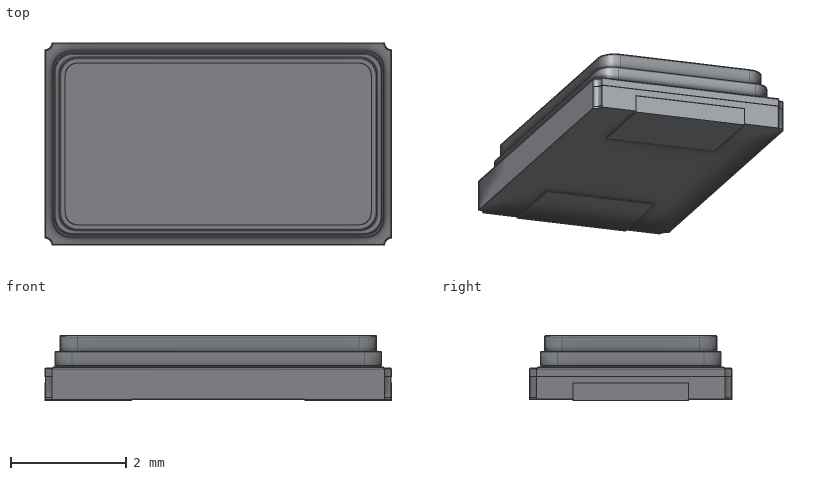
import cadquery as cq

length = 6.0
width = 3.5
total_height = 1.13
base_top = 0.56
base_edge_round = 0.02
notch_reach = 0.12
recess_bottom = 0.055
recess_top = 0.42
recess_inset = 0.02
end_face_inset = 0.005

pad_thickness = 0.02
pad_length = 1.5
pad_width = 2.0
pad_height = 0.3
pad_flange_depth = 0.1

ring_length = 5.72
ring_width = 3.22
ring_height = 0.02
ring_flare = 0.02
neck_inset = 0.01
neck_height = 0.03

lower_lid_length = 5.66
lower_lid_width = 3.13
lid_step_top = 0.85
upper_lid_length = 5.48
upper_lid_width = 2.98
corner_radius = 0.3
lid_edge_round = 0.02
step_flare = 0.02
panel_margin = 0.09
panel_height = 0.005

end_signs = (-1, 1)
side_signs = (-1, 1)


def rounded_plate(plate_length, plate_width, bottom, top, radius=corner_radius):
    """Flat plate with rounded vertical corners."""
    plate = cq.Workplane("XY", origin=(0, 0, bottom)).rect(plate_length, plate_width)
    return plate.extrude(top - bottom).edges("|Z").fillet(radius)


def centred_box(box_length, box_width, box_height):
    """Box standing on Z = 0, centred in X and Y."""
    return cq.Workplane("XY").box(box_length, box_width, box_height, centered=(True, True, False))


def corner_posts(inset, radius, bottom, top):
    """Upright cylinders centred near the four base corners."""
    centres = cq.Workplane("XY", origin=(0, 0, bottom))
    centres = centres.rect(length - 2 * inset, width - 2 * inset, forConstruction=True).vertices()
    return centres.circle(radius).extrude(top - bottom)


def corner_recesses():
    """Deeper stretch of each corner notch: a smaller arc with short straight ends."""
    recess_height = recess_top - recess_bottom
    arc_radius = notch_reach - recess_inset
    cutter = corner_posts(recess_inset, arc_radius, recess_bottom, recess_top)
    for end in end_signs:
        for side in side_signs:
            x = end * (length - recess_inset) / 2
            y = side * (width - recess_inset) / 2
            end_slot = centred_box(recess_inset, 2 * notch_reach, recess_height)
            side_slot = centred_box(2 * notch_reach, recess_inset, recess_height)
            end_slot = end_slot.translate((x, side * width / 2, recess_bottom))
            side_slot = side_slot.translate((end * length / 2, y, recess_bottom))
            cutter = cutter.union(end_slot).union(side_slot)
    return cutter


def ceramic_base():
    """Slab with notched corners and end faces set back below the rim."""
    base = centred_box(length, width, base_top - pad_thickness).translate((0, 0, pad_thickness))
    base = base.cut(corner_posts(0, notch_reach, pad_thickness, base_top))
    base = base.faces(">Z").edges().fillet(base_edge_round)
    for end in end_signs:
        setback = centred_box(end_face_inset, width, recess_top)
        base = base.cut(setback.translate((end * (length - end_face_inset) / 2, 0, 0)))
    return base.cut(corner_recesses())


def solder_pad(end):
    """Pad under one end of the base, turned up flush with the rim above it."""
    sole = centred_box(pad_length, pad_width, pad_thickness)
    sole = sole.translate((end * (length - pad_length) / 2, 0, 0))
    flange = centred_box(pad_flange_depth, pad_width, pad_height)
    flange = flange.translate((end * (length - pad_flange_depth) / 2, 0, 0))
    return sole.union(flange)


def foot_flare(plate_length, plate_width, bottom, flare):
    """Concave round of the given radius around the foot of a rounded plate."""
    block = rounded_plate(plate_length + 2 * flare, plate_width + 2 * flare,
                          bottom, bottom + flare, corner_radius + flare)
    path = rounded_plate(plate_length + 2 * flare, plate_width + 2 * flare,
                         bottom + flare, bottom + 2 * flare, corner_radius + flare).faces("<Z").wires()
    profile = cq.Workplane("XZ").center(plate_length / 2 + flare, bottom + flare)
    return block.cut(profile.circle(flare).sweep(path))


def seal_ring():
    """Low ring on the base with a slightly smaller neck above it."""
    ring_top = base_top + ring_height
    ring = rounded_plate(ring_length, ring_width, base_top, ring_top)
    neck = rounded_plate(lower_lid_length - 2 * neck_inset, lower_lid_width - 2 * neck_inset,
                         ring_top, ring_top + neck_height)
    return ring.union(foot_flare(ring_length, ring_width, base_top, ring_flare)).union(neck)


def lid():
    """Two rounded steps with softened edges and a faintly raised top panel."""
    lid_bottom = base_top + ring_height + neck_height
    rim_top = total_height - panel_height
    lower = rounded_plate(lower_lid_length, lower_lid_width, lid_bottom, lid_step_top)
    lower = lower.faces(">Z").edges().fillet(lid_edge_round)
    upper = rounded_plate(upper_lid_length, upper_lid_width, lid_step_top, rim_top)
    upper = upper.faces(">Z").edges().fillet(lid_edge_round)
    panel = rounded_plate(upper_lid_length - 2 * panel_margin, upper_lid_width - 2 * panel_margin,
                          rim_top, total_height, corner_radius - panel_margin)
    flare = foot_flare(upper_lid_length, upper_lid_width, lid_step_top, step_flare)
    return lower.union(flare).union(upper).union(panel)


result = ceramic_base().union(seal_ring()).union(lid())
for end in end_signs:
    result = result.union(solder_pad(end))